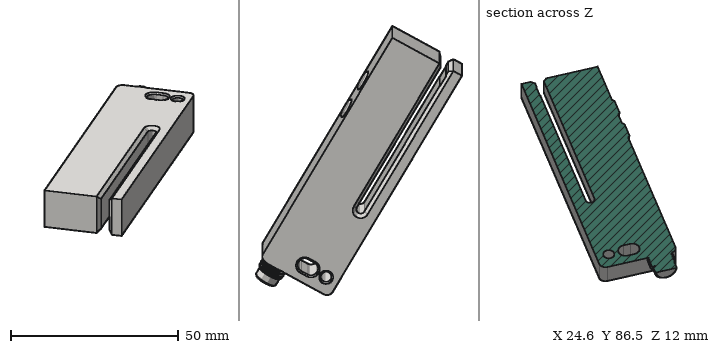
import cadquery as cq


BODY_WIDTH = 24.0
BODY_LENGTH = 80.0
BODY_HEIGHT = 12.0
REAR_CORNER_RADIUS = 2.0

SLOT_WIDTH = 2.6
SLOT_DEPTH = 53.0
SLOT_CENTER_X = 18.6
SLOT_CHAMFER = 1.1

WINDOW_START_Y = 2.6
WINDOW_LENGTH = 3.8
WINDOW_DEPTH = 0.15

HOLES_Y = BODY_LENGTH - 5.0
ROUND_HOLE_X = 20.0
ROUND_HOLE_DIAMETER = 3.2
OBLONG_HOLE_X = 13.7
OBLONG_HOLE_LENGTH = 6.4
OBLONG_HOLE_WIDTH = 4.2
HOLE_CHAMFER = 0.5

BUTTON_FIRST_Y = 17.6
BUTTON_PITCH = 10.0
BUTTON_COUNT = 2
BUTTON_BASE_RADIUS = 3.1
BUTTON_TOP_RADIUS = 2.1
BUTTON_HEIGHT = 0.6

CONNECTOR_X = 5.6
CONNECTOR_LENGTH = 6.5
PLUG_RADIUS = 3.45
PLUG_CHAMFER = 0.4
THREAD_MAJOR_RADIUS = 4.0
THREAD_DEPTH = 0.5
THREAD_PITCH = 1.0
THREAD_LENGTH = 3.8
GROOVE_MOUTH_WIDTH = 0.8

GROOVE_CLEARANCE = 0.1

OVERSHOOT = 1.0


def make_body():
    """Plain housing block with rounded rear corners."""
    body = cq.Workplane("XY").box(BODY_WIDTH, BODY_LENGTH, BODY_HEIGHT, centered=(False, False, True))
    return body.edges("|Z and >Y").fillet(REAR_CORNER_RADIUS)


def cut_slot(body):
    """Round-ended slot, chamfered along its top, bottom and mouth edges."""
    half_width = SLOT_WIDTH / 2
    arc_start_y = SLOT_DEPTH - half_width
    slot = (
        cq.Workplane("XY")
        .moveTo(SLOT_CENTER_X - half_width, -OVERSHOOT)
        .lineTo(SLOT_CENTER_X - half_width, arc_start_y)
        .threePointArc((SLOT_CENTER_X, SLOT_DEPTH), (SLOT_CENTER_X + half_width, arc_start_y))
        .lineTo(SLOT_CENTER_X + half_width, -OVERSHOOT)
        .close()
        .extrude(BODY_HEIGHT / 2 + OVERSHOOT, both=True)
    )
    body = body.cut(slot)
    rim_box = cq.selectors.BoxSelector(
        (SLOT_CENTER_X - SLOT_WIDTH, -OVERSHOOT, -BODY_HEIGHT),
        (SLOT_CENTER_X + SLOT_WIDTH, SLOT_DEPTH + OVERSHOOT, BODY_HEIGHT),
    )
    slot_edges = body.faces("<Y or >Z or <Z").edges(rim_box)
    return slot_edges.chamfer(SLOT_CHAMFER)


def cut_window(body):
    """Full-height shallow recess in the slot wall of the thin prong."""
    window = cq.Workplane("XY").box(
        SLOT_WIDTH / 2 + WINDOW_DEPTH, WINDOW_LENGTH, BODY_HEIGHT, centered=(False, False, True)
    )
    return body.cut(window.translate((SLOT_CENTER_X, WINDOW_START_Y, 0)))


def cut_mounting_holes(body):
    """Round and oblong through holes, chamfered at both ends."""
    hole_cores = (
        cq.Workplane("XY")
        .workplane(offset=-BODY_HEIGHT / 2)
        .pushPoints([(ROUND_HOLE_X, HOLES_Y)])
        .circle(ROUND_HOLE_DIAMETER / 2)
        .pushPoints([(OBLONG_HOLE_X, HOLES_Y)])
        .slot2D(OBLONG_HOLE_LENGTH, OBLONG_HOLE_WIDTH)
        .extrude(BODY_HEIGHT)
    )
    body = body.cut(hole_cores)
    rim_box = cq.selectors.BoxSelector(
        (OBLONG_HOLE_X - OBLONG_HOLE_LENGTH, HOLES_Y - OBLONG_HOLE_WIDTH, -BODY_HEIGHT),
        (ROUND_HOLE_X + ROUND_HOLE_DIAMETER, HOLES_Y + OBLONG_HOLE_WIDTH, BODY_HEIGHT),
    )
    return body.faces("<Z or >Z").edges(rim_box).chamfer(HOLE_CHAMFER)


def make_button(center_y):
    """Flat-topped button whose rim curves down to the left side of the housing."""
    button = (
        cq.Workplane("XY")
        .moveTo(OVERSHOOT, center_y)
        .lineTo(-BUTTON_HEIGHT, center_y)
        .lineTo(-BUTTON_HEIGHT, center_y + BUTTON_TOP_RADIUS)
        .tangentArcPoint((0, center_y + BUTTON_BASE_RADIUS), relative=False)
        .lineTo(OVERSHOOT, center_y + BUTTON_BASE_RADIUS)
        .close()
    )
    return button.revolve(360, (0, center_y, 0), (1, center_y, 0))


def make_thread_groove():
    """Helical V-groove around the Y axis that leaves the thread crests standing."""
    groove_length = THREAD_LENGTH + 2 * THREAD_PITCH
    root_radius = THREAD_MAJOR_RADIUS - THREAD_DEPTH
    mouth_radius = THREAD_MAJOR_RADIUS + GROOVE_CLEARANCE
    mouth_half_width = GROOVE_MOUTH_WIDTH / 2 * (mouth_radius - root_radius) / THREAD_DEPTH
    helix = cq.Wire.makeHelix(THREAD_PITCH, groove_length, root_radius)
    profile = cq.Workplane("XZ").polyline(
        [(root_radius, 0), (mouth_radius, mouth_half_width), (mouth_radius, -mouth_half_width)]
    )
    groove = profile.close().sweep(cq.Workplane(obj=helix), isFrenet=True)
    return groove.rotate((0, 0, 0), (1, 0, 0), -90).translate((0, -THREAD_PITCH, 0))


def make_connector():
    """Round connector: a threaded collar, then a plain chamfered plug end."""
    collar_chamfer = THREAD_MAJOR_RADIUS - PLUG_RADIUS
    outline = [
        (0, -OVERSHOOT),
        (THREAD_MAJOR_RADIUS, -OVERSHOOT),
        (THREAD_MAJOR_RADIUS, THREAD_LENGTH - collar_chamfer),
        (PLUG_RADIUS, THREAD_LENGTH),
        (PLUG_RADIUS, CONNECTOR_LENGTH - PLUG_CHAMFER),
        (PLUG_RADIUS - PLUG_CHAMFER, CONNECTOR_LENGTH),
        (0, CONNECTOR_LENGTH),
    ]
    connector = cq.Workplane("XY").polyline(outline).close().revolve(360, (0, 0, 0), (0, 1, 0))
    connector = connector.cut(make_thread_groove())
    return connector.translate((CONNECTOR_X, BODY_LENGTH, 0))


result = make_body()
result = cut_slot(result)
result = cut_window(result)
result = cut_mounting_holes(result)
for button_index in range(BUTTON_COUNT):
    result = result.union(make_button(BUTTON_FIRST_Y + button_index * BUTTON_PITCH))
result = result.union(make_connector())